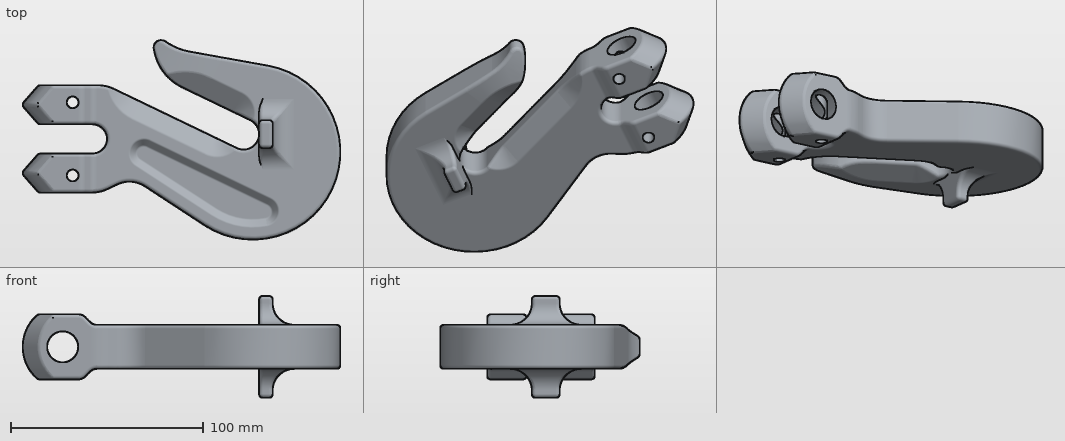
import cadquery as cq
import math


clevis_half_width = 28.0
clevis_half_height = 17.0
clevis_slot_radius = 7.5
clevis_slot_end = 23.0
clevis_shoulder_x = 10.2
clevis_blend_radius = 5.0
nose_radius = 21.46
nose_ridge_fillet = 2.0
nose_sweep_angle = 48.7
nose_edge_fillet = 2.0
pin_diameter = 16.0
lock_hole_diameter = 6.0
lock_hole_x = 5.2
lock_hole_y = 19.0

plate_half_height = 11.5
edge_fillet = 2.0
slot_angle = 25.7
back_angle = 33.2
point_angle = 10.2
bowl_center = (98.75, -6.8)
bowl_radius = 45.6
shoulder_radius = 20.0
throat_corner = (35.8, -20.1)
throat_radius = 15.0

slot_center = (94.0, 2.5)
slot_radius = 8.0
point_tip_center = (51.2, 47.4)
point_tip_radius = 4.0
point_back_radius = 30.0
point_nose_radius = 27.0
point_taper_start = 27.3
point_taper_length = 45.0
point_taper_radius = 90.0

bevel_depth = 6.5
upper_bevel = {"side": 1, "width": 11.0, "start": 10.3, "end": 31.3, "end_radius": 12.0, "front_radius": 55.0}
lower_bevel = {"side": -1, "width": 9.8, "start": 13.3, "end": 55.5, "end_radius": 13.6, "front_radius": 23.0}
bevel_fillet = 2.0

stop_front = 102.0
stop_thickness = 7.2
stop_half_width = 7.3
stop_half_height = 26.5
stop_flare_radius = 11.0

recess_depth = 3.5
recess_margin = 6.8
recess_start = (42.2, -7.5)
recess_end_radius = 7.4
recess_fillet = 1.5
recess_rim_point = (75.5, -15.3, plate_half_height)

far = 2 * (bowl_center[0] + bowl_radius)
pick = 0.1


def polar(center, radius, angle):
    turn = math.radians(angle)
    return (center[0] + radius * math.cos(turn), center[1] + radius * math.sin(turn))


def offset_center(point, angle, offset, circle_center, distance, sense):
    """Point at `offset` from the line through `point` that falls by `angle` towards +X, and at
    `distance` from a circle centre; `sense` picks the solution further along or back."""
    start = polar(point, offset, 90 - angle)
    turn = math.radians(angle)
    dx = circle_center[0] - start[0]
    dy = circle_center[1] - start[1]
    along = dx * math.cos(turn) - dy * math.sin(turn)
    across = dx * math.sin(turn) + dy * math.cos(turn)
    return polar(start, along + sense * math.sqrt(distance**2 - across**2), -angle)


def direction(start, end):
    return math.degrees(math.atan2(end[1] - start[1], end[0] - start[0]))


def x_at(point, angle, y):
    """X where the line through `point` that falls by `angle` towards +X reaches y."""
    return point[0] - (y - point[1]) / math.tan(math.radians(angle))


def corner_tangent(radius, turn):
    """Distance from a corner to the ends of the arc that rounds it."""
    return radius * math.tan(math.radians(turn) / 2)


lower_slot_end = polar(slot_center, slot_radius, -90 - slot_angle)
upper_slot_end = polar(slot_center, slot_radius, 90 - slot_angle)


def plan_outline():
    """Outline of the whole hook in plan, with the clevis still solid and square-ended."""
    left = -nose_radius
    shoulder = corner_tangent(shoulder_radius, slot_angle)
    throat = corner_tangent(throat_radius, slot_angle + back_angle)
    top_corner = (x_at(lower_slot_end, slot_angle, clevis_half_width), clevis_half_width)
    low_corner = (x_at(throat_corner, -slot_angle, -clevis_half_width), -clevis_half_width)
    bowl_low = polar(bowl_center, bowl_radius, -90 - back_angle)
    bowl_top = polar(bowl_center, bowl_radius, 90 - point_angle)
    back_center = offset_center(
        bowl_top, point_angle, point_back_radius,
        point_tip_center, point_back_radius + point_tip_radius, 1,
    )
    nose_center = offset_center(
        upper_slot_end, slot_angle, point_nose_radius,
        point_tip_center, point_nose_radius - point_tip_radius, 1,
    )
    back_angle_at_tip = direction(point_tip_center, back_center)
    nose_angle_at_tip = direction(nose_center, point_tip_center) % 360
    tip_angle = (back_angle_at_tip + nose_angle_at_tip) / 2
    point_top = polar(back_center, point_back_radius, -90 - point_angle)
    tip_back = polar(point_tip_center, point_tip_radius, back_angle_at_tip)
    tip_middle = polar(point_tip_center, point_tip_radius, tip_angle)
    tip_front = polar(point_tip_center, point_tip_radius, nose_angle_at_tip)
    nose_end = polar(nose_center, point_nose_radius, -90 - slot_angle)
    return (
        cq.Workplane("XY")
        .moveTo(left, -clevis_half_width)
        .lineTo(low_corner[0] - shoulder, -clevis_half_width)
        .radiusArc(polar(low_corner, shoulder, slot_angle), -shoulder_radius)
        .lineTo(*polar(throat_corner, throat, 180 + slot_angle))
        .radiusArc(polar(throat_corner, throat, -back_angle), throat_radius)
        .lineTo(*bowl_low)
        .threePointArc(polar(bowl_center, bowl_radius, 0), bowl_top)
        .lineTo(*point_top)
        .radiusArc(tip_back, point_back_radius)
        .threePointArc(tip_middle, tip_front)
        .radiusArc(nose_end, -point_nose_radius)
        .lineTo(*upper_slot_end)
        .threePointArc(polar(slot_center, slot_radius, -slot_angle), lower_slot_end)
        .lineTo(*polar(top_corner, shoulder, -slot_angle))
        .radiusArc((top_corner[0] - shoulder, clevis_half_width), -shoulder_radius)
        .lineTo(left, clevis_half_width)
        .close()
    )


def side_profile():
    """Side view of the plate and the thicker clevis, joined by blended shoulders."""
    low_x = clevis_shoulder_x + clevis_half_height - plate_half_height
    profile = (
        cq.Workplane("XZ")
        .polyline([
            (-far, clevis_half_height), (clevis_shoulder_x, clevis_half_height),
            (low_x, plate_half_height), (far, plate_half_height),
            (far, -plate_half_height), (low_x, -plate_half_height),
            (clevis_shoulder_x, -clevis_half_height), (-far, -clevis_half_height),
        ])
        .close()
        .extrude(far, both=True)
    )
    shoulders = cq.selectors.BoxSelector((0, -far, -far), (low_x + 1, far, far))
    return profile.edges("|Y").edges(shoulders).fillet(clevis_blend_radius)


def clevis_slot():
    center_x = clevis_slot_end - clevis_slot_radius
    return (
        cq.Workplane("XY")
        .moveTo(-far, -clevis_slot_radius)
        .lineTo(center_x, -clevis_slot_radius)
        .threePointArc((clevis_slot_end, 0), (center_x, clevis_slot_radius))
        .lineTo(-far, clevis_slot_radius)
        .close()
        .extrude(far, both=True)
    )


def prong_nose_waste(side):
    """Material outside the pointed end of one prong: an arc swept back to both sides of a ridge."""
    middle = side * (clevis_half_width + clevis_slot_radius) / 2
    sweep = polar((0, 0), 2 * clevis_half_width, nose_sweep_angle)
    rim = clevis_half_height + 1
    rim_x = -math.sqrt(nose_radius**2 - rim**2)
    face = cq.Face.makeFromWires(
        cq.Workplane("XZ", origin=(0, middle, 0))
        .moveTo(rim_x, -rim)
        .threePointArc((-nose_radius, 0), (rim_x, rim))
        .lineTo(far, rim)
        .lineTo(far, -rim)
        .close()
        .val()
    )
    nose = cq.Workplane(cq.Solid.extrudeLinear(face, cq.Vector(sweep[0], sweep[1], 0)))
    nose = nose.union(cq.Workplane(cq.Solid.extrudeLinear(face, cq.Vector(sweep[0], -sweep[1], 0))))
    ridge = cq.selectors.BoxSelector((-far, middle - pick, -1), (0, middle + pick, 1))
    nose = nose.edges(ridge).fillet(nose_ridge_fillet)
    prong_width = clevis_half_width - clevis_slot_radius
    waste = cq.Workplane("XY").box(
        nose_radius + 2, prong_width + 1, 2 * clevis_half_height, centered=(False, True, True)
    ).translate((-nose_radius - 2, middle, 0))
    return waste.cut(nose)


def along_slot(shape):
    """Move a shape from a frame with X along the chain slot, away from its mouth, into place."""
    return shape.rotate((0, 0, 0), (0, 0, 1), -slot_angle).translate((*slot_center, 0))


def mirrored(shape):
    return shape.union(shape.mirror("XY"))


def point_taper():
    """Waste above and below the hook point, which thins along an arc towards its tip."""
    drop = point_taper_radius - math.sqrt(point_taper_radius**2 - point_taper_length**2)
    start = -point_taper_start
    end = start - point_taper_length
    waste = (
        cq.Workplane("XZ")
        .moveTo(start, plate_half_height)
        .radiusArc((end, plate_half_height - drop), -point_taper_radius)
        .lineTo(end, plate_half_height + 1)
        .lineTo(start, plate_half_height + 1)
        .close()
        .extrude(-far)
    )
    return along_slot(mirrored(waste))


def jaw_bevel(side, width, start, end, end_radius, front_radius):
    """Sloped cut along one jaw of the chain slot, rounded off at both ends."""
    edge = slot_radius + width
    back = end_radius - start
    front = -end - front_radius
    cut = (
        cq.Workplane("XY", origin=(0, 0, plate_half_height))
        .moveTo(-end, side * edge)
        .lineTo(-start, side * edge)
        .radiusArc((back, side * (edge - end_radius)), side * end_radius)
        .lineTo(back, -side * far)
        .lineTo(front, -side * far)
        .lineTo(front, side * (edge - front_radius))
        .radiusArc((-end, side * edge), side * front_radius)
        .close()
        .extrude(-bevel_depth, taper=math.degrees(math.atan2(width, bevel_depth)))
    )
    jaw_side = cq.Workplane("XY").box(2 * far, far, far).translate((0, side * far / 2, 0))
    return along_slot(mirrored(cut.intersect(jaw_side)))


def chain_stop():
    """Upright lug on both faces, flared by arcs into the plate on its back and sides."""
    back = stop_front + stop_thickness
    flare_top = plate_half_height + stop_flare_radius
    side_view = (
        cq.Workplane("XZ")
        .moveTo(stop_front, 0)
        .lineTo(stop_front, stop_half_height)
        .lineTo(back, stop_half_height)
        .lineTo(back, flare_top)
        .radiusArc((back + stop_flare_radius, plate_half_height), -stop_flare_radius)
        .lineTo(back + stop_flare_radius, 0)
        .close()
        .extrude(far, both=True)
    )
    foot = stop_half_width + stop_flare_radius
    front_view = (
        cq.Workplane("YZ")
        .moveTo(-foot, 0)
        .lineTo(-foot, plate_half_height)
        .radiusArc((-stop_half_width, flare_top), -stop_flare_radius)
        .lineTo(-stop_half_width, stop_half_height)
        .lineTo(stop_half_width, stop_half_height)
        .lineTo(stop_half_width, flare_top)
        .radiusArc((foot, plate_half_height), -stop_flare_radius)
        .lineTo(foot, 0)
        .close()
        .extrude(far)
        .translate((0, slot_center[1], 0))
    )
    stop = side_view.intersect(front_view)
    upper = cq.selectors.BoxSelector((0, -far, flare_top + pick), (far, far, far))
    return mirrored(stop.edges(upper).fillet(edge_fillet))


def recess():
    """Sunken panel that follows the chain slot, the back edge and the bowl, with walls at 45 degrees."""
    rise = 1.0
    radius = recess_end_radius + rise
    bowl = bowl_radius - recess_margin + rise
    end = offset_center(recess_start, slot_angle, 0, bowl_center, bowl - radius, 1)
    touch_angle = direction(bowl_center, end)
    low = -90 - back_angle
    top = 90 - slot_angle
    panel = (
        cq.Workplane("XY", origin=(0, 0, plate_half_height - recess_depth))
        .moveTo(*polar(recess_start, radius, top))
        .lineTo(*polar(end, radius, top))
        .threePointArc(polar(end, radius, 0), polar(end, radius, touch_angle))
        .threePointArc(polar(bowl_center, bowl, (touch_angle + low) / 2), polar(bowl_center, bowl, low))
        .lineTo(*polar(recess_start, radius, low))
        .threePointArc(polar(recess_start, radius, 180), polar(recess_start, radius, top))
        .close()
        .extrude(recess_depth + 2 * rise)
    )
    panel = panel.faces("<Z").edges().chamfer(recess_depth + rise)
    return panel.faces("<Z").edges().fillet(recess_fillet)


def cut_recess(body):
    """Sink the recess and round its rim, picked by the rim's straight edge along the chain slot."""
    rim = cq.selectors.NearestToPointSelector(recess_rim_point)
    return body.cut(recess()).edges(rim).fillet(recess_fillet)


def round_crease(body, jaw):
    """Round the top edge of a bevel, picked by the middle of its straight part."""
    along = -(jaw["start"] + jaw["end"]) / 2
    across = jaw["side"] * (slot_radius + jaw["width"])
    middle = polar(polar(slot_center, along, -slot_angle), across, 90 - slot_angle)
    crease = cq.selectors.NearestToPointSelector((*middle, plate_half_height))
    return body.edges(crease).fillet(bevel_fillet)


def round_outline(body):
    """Round the top outline edges. The outer chain runs from one side of the clevis around the
    hook to the other, and the inner one around the clevis slot; one prong edge picks each."""
    top = clevis_half_height
    for y in (-clevis_half_width, clevis_slot_radius):
        prong_edge = cq.selectors.BoxSelector(
            (-far, y - pick, top - pick), (clevis_shoulder_x - 1, y + pick, top + pick)
        )
        body = body.edges(prong_edge).fillet(edge_fillet)
    return body


def round_nose_edges(body):
    """Round the curved edges between the prong noses and the prong sides; each chain runs
    around its nose from one edge on the outer side."""
    for y in (clevis_half_width, -clevis_half_width):
        nose_edge = cq.selectors.BoxSelector((-far, y - pick, -pick), (0, y + pick, pick))
        body = body.edges("%BSPLINE").edges(nose_edge).fillet(nose_edge_fillet)
    return body


def cut_holes(body):
    """Pin hole through both prongs along Y, and a lock hole down through each prong."""
    pin = cq.Workplane("XZ").circle(pin_diameter / 2).extrude(far, both=True)
    locks = (
        cq.Workplane("XY")
        .pushPoints([(lock_hole_x, lock_hole_y), (lock_hole_x, -lock_hole_y)])
        .circle(lock_hole_diameter / 2)
        .extrude(far, both=True)
    )
    return body.cut(pin).cut(locks)


def build():
    body = plan_outline().extrude(clevis_half_height)
    body = body.intersect(side_profile()).cut(clevis_slot()).cut(point_taper())
    for jaw in (upper_bevel, lower_bevel):
        body = round_crease(body.cut(jaw_bevel(**jaw)), jaw)
    body = mirrored(round_outline(body)).clean()
    for side in (1, -1):
        body = body.cut(prong_nose_waste(side))
    body = cut_recess(round_nose_edges(body))
    return cut_holes(body.union(chain_stop()))


result = build()